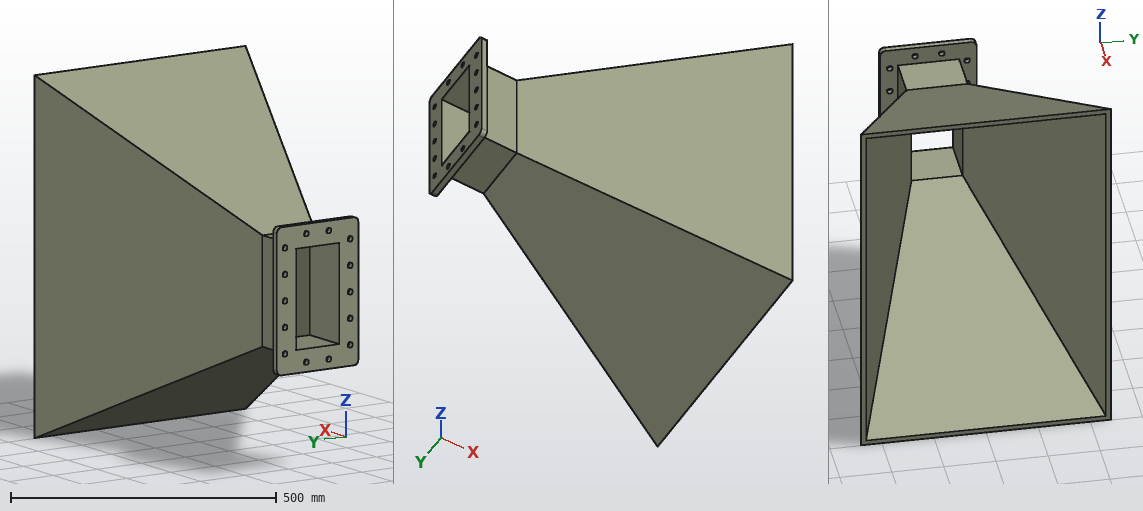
import cadquery as cq

length = 600.0
mouth_width = 480.0
mouth_height = 700.0
wall = 10.0

bore_width = 98.0
bore_height = 195.0
throat_width = bore_width + 2 * wall
throat_height = bore_height + 2 * wall
throat_end = 99.5

flange_width = 185.5
flange_height = 285.5
flange_thickness = 12.5
flange_corner_radius = 10.5

hole_diameter = 10.5
hole_pitch = 51.0
column_offset = 74.0
row_offset = 124.0
holes_per_column = 5
holes_per_row = 2


def block(start, end, width, height):
    """Box centred on the X axis between two stations."""
    return cq.Workplane("YZ", origin=(start, 0, 0)).rect(width, height).extrude(end - start)


def flare(start_width, start_height, end_width, end_height):
    """Pyramidal frustum from the end of the throat to the mouth."""
    return (
        cq.Workplane("YZ", origin=(throat_end, 0, 0))
        .rect(start_width, start_height)
        .workplane(offset=length - throat_end)
        .rect(end_width, end_height)
        .loft(ruled=True)
    )


def centred_positions(count):
    """Hole positions at the bolt pitch, centred on zero."""
    return [(i - (count - 1) / 2) * hole_pitch for i in range(count)]


flange = block(0, flange_thickness, flange_width, flange_height).edges("|X").fillet(flange_corner_radius)
throat = block(flange_thickness, throat_end, throat_width, throat_height)
horn = flare(throat_width, throat_height, mouth_width, mouth_height)
body = flange.union(throat).union(horn)

bore = block(0, throat_end, bore_width, bore_height)
cavity = flare(bore_width, bore_height, mouth_width - 2 * wall, mouth_height - 2 * wall)
body = body.cut(bore).cut(cavity)

hole_centres = [(side * column_offset, z) for side in (-1, 1) for z in centred_positions(holes_per_column)]
hole_centres += [(y, side * row_offset) for side in (-1, 1) for y in centred_positions(holes_per_row)]
holes = (
    cq.Workplane("YZ")
    .pushPoints(hole_centres)
    .circle(hole_diameter / 2)
    .extrude(flange_thickness)
)

result = body.cut(holes)